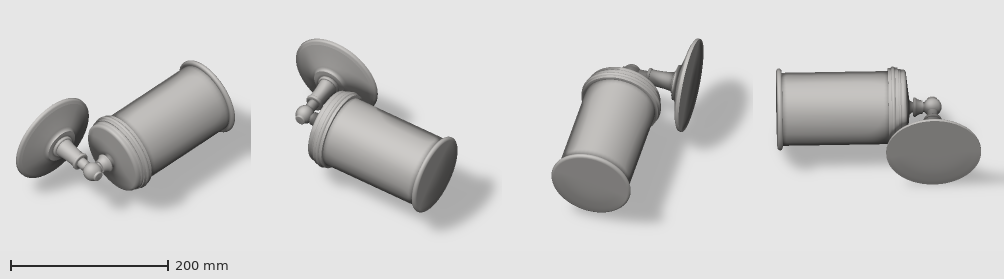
import cadquery as cq


plate_radius = 60.3
plate_rim = 2.3
plate_edge = (5.0, 58.8)
plate_bevel_end = (6.5, 55.5)
plate_flare_middle = (10.3, 41.0)
plate_neck = (15.2, 26.0)
boss_radius = 22.7
boss_start = 18.5
boss_end = 19.9

collar_radius = 15.0
collar_flat_end = 22.0
collar_end = 23.5
sleeve_start_radius = 12.5
sleeve_middle = (35.0, 10.8)
sleeve_end_radius = 10.3
ring_radius = 11.5
ring_start = 53.0
ring_end = 57.0
ring_start_round = 0.8
ring_end_round = 1.3
rod_radius = 7.0
ball_radius = 11.9
cap_length = 12.5
cap_round = 1.3

cup_axis_x = 78.5
cup_top = 257.9 - plate_radius
cup_radius = 46.5
bead_radius = 52.0
rim_height = 6.7

stem_radius = 6.05
bell_bottom = 12.0
bell_bottom_radius = 8.5
bell_middle = (9.5, 17.5)
bell_lip_radius = 12.5
bell_lip_bottom = 21.5
bell_lip_top = 23.0
bell_top = 24.5
bell_top_radius = 10.8
neck_radius = 6.7
flare_middle = (7.5, 27.0)
flare_radius = 10.0

base_bottom = 29.1
base_cone_end = (44.4, 33.0)
base_round_middle = (47.2, 34.3)
base_side_radius = 48.2
base_side_bottom = 37.1
base_side_top = 39.5
step_radius = 49.0
step_bottom = 40.7
band_radius = 50.5
band_bottom = 43.3
bead_bottom = 47.0
bead_top = 52.0
band_top = 56.0


def revolve_about_x(profile):
    """Close a profile of (x, radius) points and turn it about the arm axis."""
    return profile.close().revolve(360, (0, 0, 0), (1, 0, 0))


def make_wall_plate():
    profile = (
        cq.Workplane("XY")
        .lineTo(0, plate_radius)
        .lineTo(plate_rim, plate_radius)
        .tangentArcPoint(plate_edge, relative=False)
        .lineTo(*plate_bevel_end)
        .threePointArc(plate_flare_middle, plate_neck)
        .tangentArcPoint((boss_start, boss_radius), relative=False)
        .lineTo(boss_end, boss_radius)
        .lineTo(boss_end, 0)
    )
    return revolve_about_x(profile)


def make_arm():
    profile = (
        cq.Workplane("XY")
        .moveTo(boss_start, 0)
        .lineTo(boss_start, collar_radius)
        .lineTo(collar_flat_end, collar_radius)
        .tangentArcPoint((collar_end, sleeve_start_radius), relative=False)
        .threePointArc(sleeve_middle, (ring_start, sleeve_end_radius))
        .lineTo(ring_start, ring_radius - ring_start_round)
        .tangentArcPoint((ring_start + ring_start_round, ring_radius), relative=False)
        .lineTo(ring_end - ring_end_round, ring_radius)
        .tangentArcPoint((ring_end, ring_radius - ring_end_round), relative=False)
        .lineTo(ring_end, rod_radius)
        .lineTo(cup_axis_x + cap_length - cap_round, rod_radius)
        .tangentArcPoint((cup_axis_x + cap_length, rod_radius - cap_round), relative=False)
        .lineTo(cup_axis_x + cap_length, 0)
    )
    ball = cq.Workplane("XY").sphere(ball_radius).translate((cup_axis_x, 0, 0))
    return revolve_about_x(profile).union(ball)


def make_cup_and_stem():
    """Turn the stem, stepped base and cup from one (radius, y) profile."""
    rim_bottom = cup_top - rim_height
    rim_round = rim_height / 2
    rim_side = bead_radius - rim_round
    bead_middle = (bead_radius, (bead_bottom + bead_top) / 2)
    profile = (
        cq.Workplane("XY")
        .lineTo(stem_radius, 0)
        .lineTo(stem_radius, bell_bottom)
        .lineTo(bell_bottom_radius, bell_bottom)
        .threePointArc(bell_middle, (bell_lip_radius, bell_lip_bottom))
        .lineTo(bell_lip_radius, bell_lip_top)
        .lineTo(bell_top_radius, bell_top)
        .lineTo(neck_radius, bell_top)
        .threePointArc(flare_middle, (flare_radius, base_bottom))
        .lineTo(*base_cone_end)
        .threePointArc(base_round_middle, (base_side_radius, base_side_bottom))
        .lineTo(base_side_radius, base_side_top)
        .lineTo(step_radius, step_bottom)
        .lineTo(step_radius, band_bottom)
        .lineTo(band_radius, band_bottom)
        .lineTo(band_radius, bead_bottom)
        .threePointArc(bead_middle, (band_radius, bead_top))
        .lineTo(band_radius, band_top)
        .lineTo(cup_radius, band_top)
        .lineTo(cup_radius, rim_bottom)
        .lineTo(rim_side, rim_bottom)
        .threePointArc((bead_radius, rim_bottom + rim_round), (rim_side, cup_top))
        .lineTo(0, cup_top)
        .close()
    )
    return profile.revolve(360, (0, 0, 0), (0, 1, 0)).translate((cup_axis_x, 0, 0))


result = make_wall_plate().union(make_arm()).union(make_cup_and_stem())